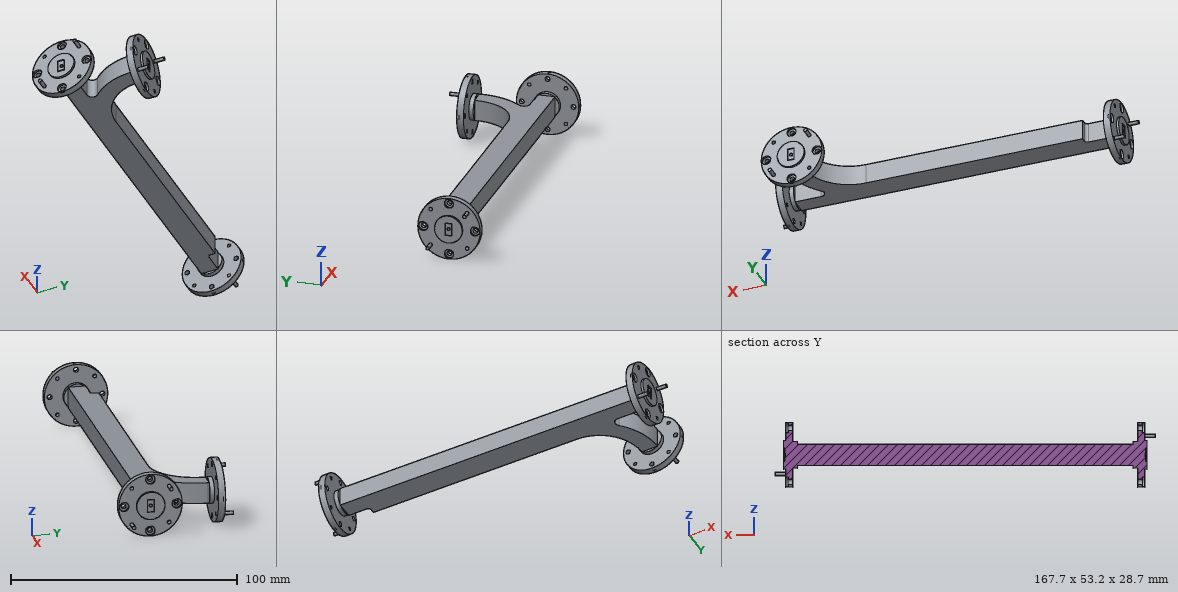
import cadquery as cq
import math


OVERALL_LENGTH = 167.7
BRANCH_X = 63.9
OVERALL_WIDTH = 53.2

FLANGE_DIAMETER = 28.7
FLANGE_THICKNESS = 3.2
PIN_REACH = 4.7
FACE_BOSS_DIAMETER = 12.7
FACE_BOSS_HEIGHT = 1.0
COLLAR_DIAMETER = 11.9
COLLAR_LENGTH = 2.0

BOLT_CIRCLE_DIAMETER = 23.8
SCREW_HOLE_DIAMETER = 2.2
COUNTERBORE_DIAMETER = 4.2
COUNTERBORE_DEPTH = 1.0
PIN_DIAMETER = 1.6
QUARTER_TURN = 90
SCREW_HOLE_ANGLES = [QUARTER_TURN * i for i in range(4)]
PIN_HOLE_ANGLES = [QUARTER_TURN / 2 + angle for angle in SCREW_HOLE_ANGLES]
PIN_ANGLES = PIN_HOLE_ANGLES[1::2]

WINDOW_WIDTH = 3.0
WINDOW_HEIGHT = 5.7
WINDOW_DEPTH = 0.5
WINDOW_HOLE_DIAMETER = 1.3
WINDOW_HOLE_DEPTH = 0.3

GUIDE_WIDTH = 8.0
GUIDE_HEIGHT = 9.5
WIDE_TOP_Y = 7.5
STEP_X = -63.5
STEP_FILLET = 1.3
BEND_INNER_RADIUS = 20.8
CROTCH_FILLET = 2.5

BRANCH_TIP_Y = OVERALL_WIDTH - FLANGE_DIAMETER / 2
TIP_TO_GUIDE_END = PIN_REACH + FLANGE_THICKNESS + COLLAR_LENGTH
MAIN_END_X = OVERALL_LENGTH / 2 - TIP_TO_GUIDE_END
BRANCH_END_Y = BRANCH_TIP_Y - TIP_TO_GUIDE_END
BEND_OUTER_RADIUS = BEND_INNER_RADIUS + GUIDE_WIDTH
BEND_CENTER_X = BRANCH_X - GUIDE_WIDTH / 2 - BEND_INNER_RADIUS
BEND_CENTER_Y = WIDE_TOP_Y + BEND_INNER_RADIUS

PORT_PLANES = [
    cq.Plane(origin=(-MAIN_END_X, 0, 0), xDir=(0, 0, 1), normal=(-1, 0, 0)),
    cq.Plane(origin=(MAIN_END_X, 0, 0), xDir=(0, 0, 1), normal=(1, 0, 0)),
    cq.Plane(origin=(BRANCH_X, BRANCH_END_Y, 0), xDir=(0, 0, 1), normal=(0, 1, 0)),
]

FLANGE_BACK = COLLAR_LENGTH
FLANGE_FACE = FLANGE_BACK + FLANGE_THICKNESS
BOSS_FACE = FLANGE_FACE + FACE_BOSS_HEIGHT


def bar(x_min, x_max, y_min, y_max):
    """Rectangular bar with the guide height, centred on Z = 0."""
    return (
        cq.Workplane("XY")
        .box(x_max - x_min, y_max - y_min, GUIDE_HEIGHT, centered=(False, False, True))
        .translate((x_min, y_min, 0))
    )


def bend():
    """Quarter ring that turns the branch from +X to +Y."""
    diagonal = math.sqrt(0.5)
    outer, inner = BEND_OUTER_RADIUS, BEND_INNER_RADIUS
    return (
        cq.Workplane("XY")
        .center(BEND_CENTER_X, BEND_CENTER_Y)
        .moveTo(0, -outer)
        .threePointArc((outer * diagonal, -outer * diagonal), (outer, 0))
        .lineTo(inner, 0)
        .threePointArc((inner * diagonal, -inner * diagonal), (0, -inner))
        .close()
        .extrude(GUIDE_HEIGHT / 2, both=True)
    )


def round_corner(guide, x, y, radius):
    """Fillet the Z edge that stands nearest to (x, y)."""
    return guide.edges("|Z").edges(cq.selectors.NearestToPointSelector((x, y, 0))).fillet(radius)


def make_guides():
    """Main guide, its widened stretch and the curved branch."""
    half_width = GUIDE_WIDTH / 2
    main = bar(-MAIN_END_X, MAIN_END_X, -half_width, half_width)
    widened = bar(STEP_X, BEND_CENTER_X, -half_width, WIDE_TOP_Y)
    branch = bar(BRANCH_X - half_width, BRANCH_X + half_width, BEND_CENTER_Y, BRANCH_END_Y)
    guides = main.union(widened).union(bend()).union(branch)
    guides = round_corner(guides, STEP_X, half_width, STEP_FILLET)
    crotch_x = BEND_CENTER_X + math.sqrt(BEND_OUTER_RADIUS**2 - (BEND_CENTER_Y - half_width) ** 2)
    return round_corner(guides, crotch_x, half_width, CROTCH_FILLET)


def on_bolt_circle(plane, height, angles):
    """Points on the bolt circle of a port, at a height above its plane."""
    radius = BOLT_CIRCLE_DIAMETER / 2
    points = [
        (radius * math.cos(math.radians(angle)), radius * math.sin(math.radians(angle)))
        for angle in angles
    ]
    return cq.Workplane(plane).workplane(offset=height).pushPoints(points)


def disc(plane, height, diameter, length):
    """Round disc on the axis of a port, starting at a height above its plane."""
    return cq.Workplane(plane).workplane(offset=height).circle(diameter / 2).extrude(length)


def make_flange(plane):
    """Flange with its collar, face boss, window and holes."""
    flange = (
        disc(plane, 0, COLLAR_DIAMETER, COLLAR_LENGTH)
        .union(disc(plane, FLANGE_BACK, FLANGE_DIAMETER, FLANGE_THICKNESS))
        .union(disc(plane, FLANGE_FACE, FACE_BOSS_DIAMETER, FACE_BOSS_HEIGHT))
    )
    window = (
        cq.Workplane(plane)
        .workplane(offset=BOSS_FACE)
        .rect(WINDOW_HEIGHT, WINDOW_WIDTH)
        .extrude(-WINDOW_DEPTH)
    )
    window_hole = disc(plane, BOSS_FACE - WINDOW_DEPTH, WINDOW_HOLE_DIAMETER, -WINDOW_HOLE_DEPTH)
    screw_holes = (
        on_bolt_circle(plane, FLANGE_BACK, SCREW_HOLE_ANGLES)
        .circle(SCREW_HOLE_DIAMETER / 2)
        .extrude(FLANGE_THICKNESS)
    )
    counterbores = (
        on_bolt_circle(plane, FLANGE_FACE, SCREW_HOLE_ANGLES)
        .circle(COUNTERBORE_DIAMETER / 2)
        .extrude(-COUNTERBORE_DEPTH)
    )
    pin_holes = (
        on_bolt_circle(plane, FLANGE_BACK, PIN_HOLE_ANGLES)
        .circle(PIN_DIAMETER / 2)
        .extrude(FLANGE_THICKNESS)
    )
    return flange.cut(window).cut(window_hole).cut(screw_holes).cut(counterbores).cut(pin_holes)


def make_pins(plane):
    """Two dowel pins, flush with the back of the flange."""
    return (
        on_bolt_circle(plane, FLANGE_BACK, PIN_ANGLES)
        .circle(PIN_DIAMETER / 2)
        .extrude(FLANGE_THICKNESS + PIN_REACH)
    )


coupler = make_guides()
pins = []
for port_plane in PORT_PLANES:
    coupler = coupler.union(make_flange(port_plane))
    pins.extend(make_pins(port_plane).vals())

result = cq.Compound.makeCompound([coupler.val(), *pins])